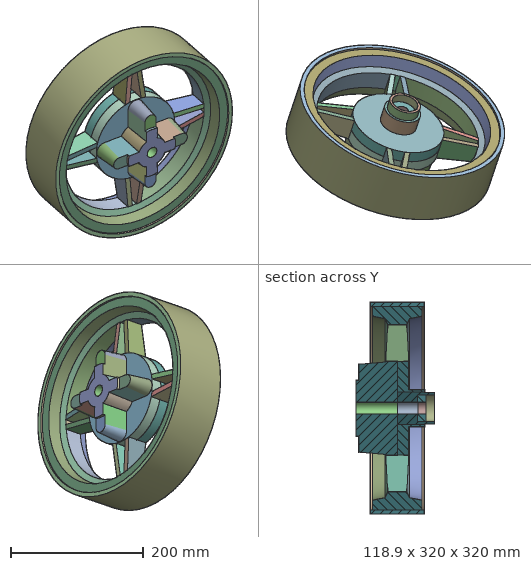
import cadquery as cq
import math


tyre_width = 81.5
tyre_radius = 160.0
tyre_inner_radius = 153.2

rim_recess = 3.2
rim_mouth_radius = 138.8
rim_shoulder_radius = 135.0
rim_bore_radius = 125.7
rim_shoulder_depth = 19.0
rim_bevel_depth = 23.5

drum_radius = 71.0
drum_half_width = 17.5

boss_radius = 28.0
boss_proud = 1.0

pair_count = 4
spoke_width = 8.0
spoke_root_offset = 14.0
spoke_lean = 6.6
spoke_root_radius = 67.0
spoke_end_radius = 130.0

sleeve_radius = 24.0
sleeve_projection = 14.7
bearing_radius = 19.8
bearing_width = 12.0
bearing_setback = 13.0
axle_hole_radius = 8.5

draft_angle = 5.0
arm_end_centre_radius = 56.5
arm_half_width = 11.5
cross_hub_radius = 27.2
arm_reach = 17.5
core_reach = 21.7
core_radius = 42.5

tyre_face_x = tyre_width / 2
rim_face_x = tyre_face_x - rim_recess
rim_shoulder_x = rim_face_x - rim_shoulder_depth
rim_bevel_x = rim_face_x - rim_bevel_depth
boss_face_x = -tyre_face_x - boss_proud
sleeve_face_x = boss_face_x - sleeve_projection
bearing_front_x = sleeve_face_x + bearing_setback
bearing_back_x = bearing_front_x + bearing_width
drum_split_x = 0.0
arm_face_x = tyre_face_x + arm_reach
core_face_x = tyre_face_x + core_reach


def cylinder(radius, start_x, end_x):
    """Solid cylinder about the axle between two X positions."""
    return cq.Workplane("YZ", origin=(start_x, 0, 0)).circle(radius).extrude(end_x - start_x)


def tube(outer_radius, inner_radius, start_x, end_x):
    """Plain ring about the axle between two X positions."""
    return cylinder(outer_radius, start_x, end_x).cut(cylinder(inner_radius, start_x, end_x))


def make_tyre():
    return tube(tyre_radius, tyre_inner_radius, -tyre_face_x, tyre_face_x)


def make_rim():
    """Ring that is symmetric about X = 0, turned from an (X, radius) outline."""
    outline = [
        (-rim_face_x, tyre_inner_radius),
        (-rim_face_x, rim_mouth_radius),
        (-rim_shoulder_x, rim_shoulder_radius),
        (-rim_bevel_x, rim_bore_radius),
        (rim_bevel_x, rim_bore_radius),
        (rim_shoulder_x, rim_shoulder_radius),
        (rim_face_x, rim_mouth_radius),
        (rim_face_x, tyre_inner_radius),
    ]
    return cq.Workplane("XY").polyline(outline).close().revolve(360, (0, 0, 0), (1, 0, 0))


def make_spoke(side):
    """One spoke of the +Z pair: side is +1 or -1 in Y."""

    def centre_offset(radius):
        return spoke_root_offset + (drum_radius - radius) * math.tan(math.radians(spoke_lean))

    root_y = centre_offset(spoke_root_radius)
    end_y = centre_offset(spoke_end_radius)
    half_width = spoke_width / 2
    leaning_bar = (
        cq.Workplane("YZ", origin=(-tyre_face_x, 0, 0))
        .polyline([
            (side * (root_y - half_width), spoke_root_radius),
            (side * (root_y + half_width), spoke_root_radius),
            (side * (end_y + half_width), spoke_end_radius),
            (side * (end_y - half_width), spoke_end_radius),
        ])
        .close()
        .extrude(tyre_width)
    )
    tapering_side = (
        cq.Workplane("XZ")
        .polyline([
            (-drum_half_width, spoke_root_radius),
            (drum_half_width, spoke_root_radius),
            (rim_bevel_x, spoke_end_radius),
            (-rim_bevel_x, spoke_end_radius),
        ])
        .close()
        .extrude(drum_radius, both=True)
    )
    drum_space = cylinder(drum_radius, -tyre_face_x, tyre_face_x)
    return leaning_bar.intersect(tapering_side).cut(drum_space)


def make_wheel():
    """Rim, spokes, front half of the drum and bearing boss, bored for the sleeve."""
    wheel = make_rim()
    wheel = wheel.union(cylinder(drum_radius, -drum_half_width, drum_split_x))
    wheel = wheel.union(cylinder(boss_radius, boss_face_x, drum_split_x))
    for side in (1, -1):
        spoke = make_spoke(side)
        for i in range(pair_count):
            wheel = wheel.union(spoke.rotate((0, 0, 0), (1, 0, 0), i * 360 / pair_count))
    return wheel.cut(cylinder(sleeve_radius, boss_face_x, drum_split_x))


def make_sleeve():
    """Stepped sleeve: bearing pocket at the front, axle hole behind it."""
    sleeve = tube(sleeve_radius, axle_hole_radius, sleeve_face_x, drum_split_x)
    return sleeve.cut(cylinder(bearing_radius, sleeve_face_x, bearing_back_x))


def make_bearing():
    return tube(bearing_radius, axle_hole_radius, bearing_front_x, bearing_back_x)


def make_drive_carrier():
    """Rear half of the drum with a four-armed drive cross."""
    draft_growth = (tyre_face_x - drum_half_width) * math.tan(math.radians(draft_angle))
    cross_depth = core_face_x - drum_half_width
    drum_face = cq.Workplane("YZ", origin=(drum_half_width, 0, 0))
    root_half_width = arm_half_width + draft_growth
    arm_span = 2 * (arm_end_centre_radius + root_half_width)

    cross = drum_face.circle(cross_hub_radius + draft_growth).extrude(cross_depth, taper=draft_angle)
    for angle in (0, 90):
        bar = drum_face.slot2D(arm_span, 2 * root_half_width, angle)
        cross = cross.union(bar.extrude(cross_depth, taper=draft_angle))
    cross = cross.cut(tube(drum_radius, core_radius, arm_face_x, core_face_x))

    carrier = cylinder(drum_radius, drum_split_x, drum_half_width).union(cross)
    return carrier.cut(cylinder(axle_hole_radius, drum_split_x, core_face_x))


tyre = make_tyre()
wheel = make_wheel()
sleeve = make_sleeve()
bearing = make_bearing()
drive_carrier = make_drive_carrier()

result = cq.Compound.makeCompound([
    tyre.val(),
    wheel.val(),
    sleeve.val(),
    bearing.val(),
    drive_carrier.val(),
])